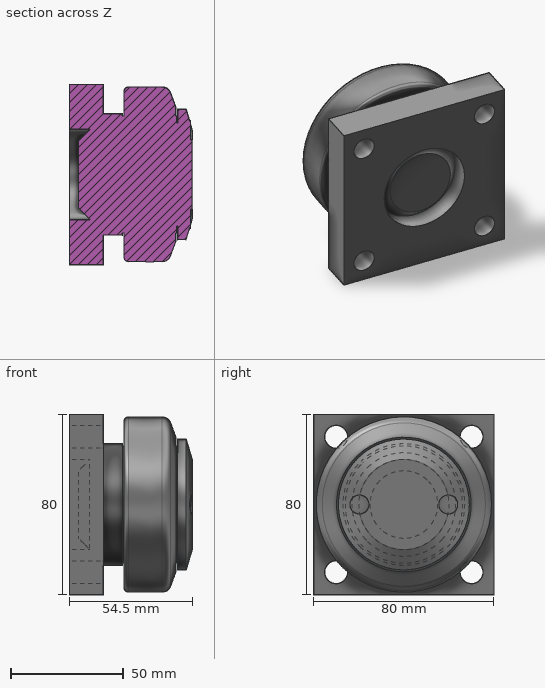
import cadquery as cq
import math

plate_size = 80.0
plate_thickness = 15.0
bolt_spacing = 60.0
bolt_hole_diameter = 10.1

pin_diameter = 40.0
pin_face_diameter = 30.0
pin_setback = 4.0

neck_end = 23.5
roller_start = 24.2
roller_end = 47.2
outer_journal_end = 47.6
cover_start = 48.0
cover_rim_end = 51.8
cover_end = 54.5

neck_diameter = 54.0
journal_diameter = 52.0
gap_diameter = 46.0
roller_diameter = 77.8
roller_face_diameter = 59.7
cover_diameter = 58.0
cover_face_diameter = 40.0

crown_height = 0.1
inner_shoulder_radius = 2.0
outer_shoulder_radius = 4.0
bevel_angle = math.radians(70)

plug_diameter = 8.4
plug_offset = 19.7
plug_depth = 0.8


def disc(start, end, diameter):
    """Cylinder around the X axis between two positions."""
    return cq.Workplane("YZ", origin=(start, 0, 0)).circle(diameter / 2).extrude(end - start)


def revolve_about_x(profile):
    """Full turn of an XY half profile around the X axis."""
    return profile.close().revolve(360, (0, 0, 0), (1, 0, 0))


def make_plate():
    plate = cq.Workplane("YZ").rect(plate_size, plate_size).extrude(plate_thickness)
    bolt_holes = (
        cq.Workplane("YZ")
        .rect(bolt_spacing, bolt_spacing, forConstruction=True)
        .vertices()
        .circle(bolt_hole_diameter / 2)
        .extrude(plate_thickness)
    )
    pin_face_radius = pin_face_diameter / 2
    pin_radius = pin_diameter / 2
    pin_chamfer = pin_radius - pin_face_radius
    recess = revolve_about_x(
        cq.Workplane("XY")
        .lineTo(0, pin_radius)
        .lineTo(pin_setback + pin_chamfer, pin_radius)
        .lineTo(pin_setback, pin_face_radius)
        .lineTo(pin_setback, 0)
    )
    return plate.cut(bolt_holes).cut(recess)


def make_roller():
    crown_radius = roller_diameter / 2
    tread_radius = crown_radius - crown_height
    bevel_face_radius = roller_face_diameter / 2

    shoulder_center_radius = tread_radius - outer_shoulder_radius
    bevel_start_radius = shoulder_center_radius + outer_shoulder_radius * math.cos(bevel_angle)
    bevel_start = roller_end - (bevel_start_radius - bevel_face_radius) / math.tan(bevel_angle)
    tread_end = bevel_start - outer_shoulder_radius * math.sin(bevel_angle)
    shoulder_middle = (
        tread_end + outer_shoulder_radius * math.sin(bevel_angle / 2),
        shoulder_center_radius + outer_shoulder_radius * math.cos(bevel_angle / 2),
    )

    tread_start = roller_start + inner_shoulder_radius
    inner_corner_inset = inner_shoulder_radius * (1 - math.sqrt(0.5))
    return revolve_about_x(
        cq.Workplane("XY")
        .moveTo(roller_start, 0)
        .lineTo(roller_start, tread_radius - inner_shoulder_radius)
        .threePointArc(
            (roller_start + inner_corner_inset, tread_radius - inner_corner_inset),
            (tread_start, tread_radius),
        )
        .threePointArc(((tread_start + tread_end) / 2, crown_radius), (tread_end, tread_radius))
        .threePointArc(shoulder_middle, (bevel_start, bevel_start_radius))
        .lineTo(roller_end, bevel_face_radius)
        .lineTo(roller_end, 0)
    )


def make_cover():
    cover = revolve_about_x(
        cq.Workplane("XY")
        .moveTo(cover_start, 0)
        .lineTo(cover_start, cover_diameter / 2)
        .lineTo(cover_rim_end, cover_diameter / 2)
        .lineTo(cover_end, cover_face_diameter / 2)
        .lineTo(cover_end, 0)
    )
    plug_end = cover_end - plug_depth
    plug = disc(cover_start, plug_end, plug_diameter)
    plug_recess = disc(plug_end, cover_end, plug_diameter)
    for side in (-1, 1):
        offset = (0, side * plug_offset, 0)
        cover = cover.cut(plug_recess.translate(offset)).union(plug.translate(offset))
    return cover


neck = disc(plate_thickness, neck_end, neck_diameter)
inner_journal = disc(neck_end, roller_start, journal_diameter)
outer_journal = disc(roller_end, outer_journal_end, journal_diameter)
cover_gap = disc(outer_journal_end, cover_start, gap_diameter)

result = make_plate()
for section in (neck, inner_journal, make_roller(), outer_journal, cover_gap, make_cover()):
    result = result.union(section)